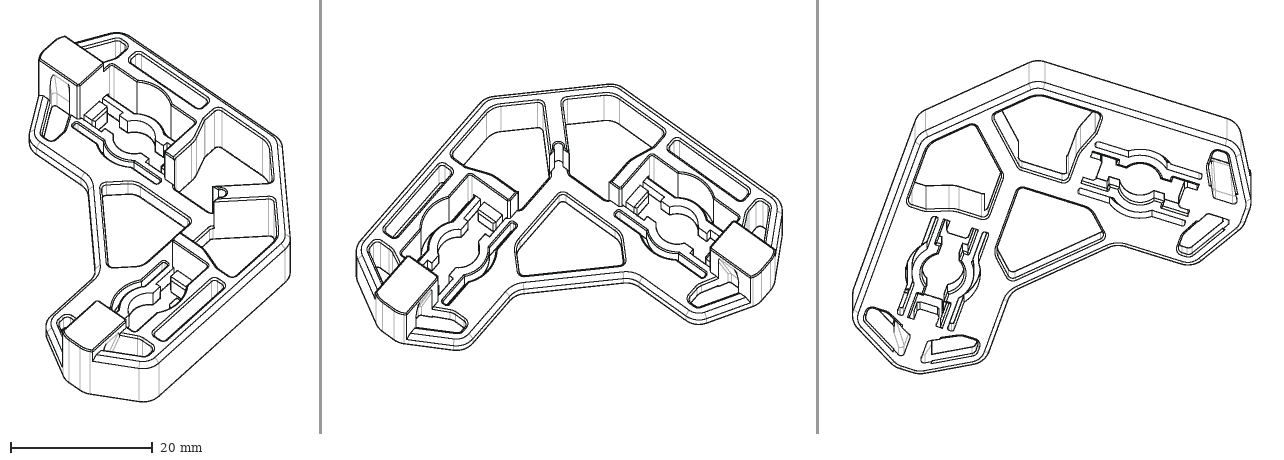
import cadquery as cq
import math

SIZE = 48.0
ARM_WIDTH = 20.15
FLOOR_TOP = 3.0
WALL_TOP = 9.0
BLOCK_TOP = 10.6
OVERSHOOT = 0.5

CORNER_CUT = 13.2
NOSE_HALF_WIDTH = 1.8
NOSE_ANGLE = 60.0
ELBOW_X = 16.1
CORNER_RADIUS = 3.0
RIM_CHAMFER = 0.7
EDGE_CHAMFER = 0.3
RIM_WIDTH = 1.85

AXIS_Y = SIZE - ARM_WIDTH / 2
BLOCK_HALF_WIDTH = 2.85
SEAT_EDGE = AXIS_Y - BLOCK_HALF_WIDTH
RELIEF_RADIUS = 0.65
RELIEF_INSET = 0.2

CLIP_START = 8.05
CLIP_END = 23.9
CLIP_MIDDLE = (CLIP_START + CLIP_END) / 2
CLIP_CHAMFER = 0.2
CAVITY_FILLET = 0.45
SLOT_OUTER_HALF = 4.2
SLOT_OUTER_RADIUS = 5.3
SLOT_WIDTH = 0.9
SLOT_INNER_HALF = SLOT_OUTER_HALF - SLOT_WIDTH
SLOT_INNER_RADIUS = SLOT_OUTER_RADIUS - SLOT_WIDTH
SLOT_END_RADIUS = 0.3
BEAM_INNER_HALF = 2.3
PAD_INNER_HALF = 1.55
PAD_HALF_LENGTH = 4.15
CLIP_HOLE_RADIUS = 3.0

LEDGE_LENGTH = 1.8
LEDGE_HALF_WIDTH = 1.65
LEDGE_CHAMFER = 0.35

WINDOW_RADIUS = 0.7
NOSE_WINDOW_END = 7.75
NOSE_WINDOW_BEND_X = 5.5
NOSE_WINDOW_BEND_OFFSET = 5.5
NOSE_WINDOW_BEND_RADIUS = 1.7
WEB_HALF_WIDTH = 1.25
WEB_FILLET = 0.5
RECESS_TOP = 9.45
RIB_WIDTH = 2.4
TAB_THICKNESS = 1.95
TAB_ROOT_THICKNESS = 0.6
TAB_ROOT_Y = 43.3
TAB_ROOT_RADIUS = 0.5
TAB_BEND_Y = 39.6
TAB_BEND_RADIUS = 3.85
MIDDLE_WINDOW_EDGE = 31.9
MIDDLE_WINDOW_SHIFT = 10.5
MIDDLE_WINDOW_RADIUS = 2.4

POCKET_START = 9.45
POCKET_END = 22.7
POCKET_OUTER_Y = 46.25
POCKET_WIDTH = 2.05
POCKET_RADIUS = 0.6

SLOPE = math.tan(math.radians(NOSE_ANGLE))
ROOT2 = math.sqrt(2)


def mirrored(shape):
    """Copy of a shape for the other arm, mirrored in the plane X = Y."""
    return shape.mirror((1, -1, 0), (0, 0, 0))


def rounded_outline(corners):
    """Closed wire through (x, y, radius) corners, each rounded by a tangent arc."""
    spans = []
    for i, (x, y, radius) in enumerate(corners):
        corner = cq.Vector(x, y)
        before = cq.Vector(*corners[i - 1][:2])
        after = cq.Vector(*corners[(i + 1) % len(corners)][:2])
        back = (before - corner).normalized()
        ahead = (after - corner).normalized()
        half_angle = back.getAngle(ahead) / 2
        reach = radius / math.tan(half_angle)
        to_middle = radius / math.sin(half_angle) - radius
        middle = corner + (back + ahead).normalized() * to_middle
        spans.append((corner + back * reach, middle, corner + ahead * reach))
    path = cq.Workplane("XY").moveTo(*spans[0][2].toTuple()[:2])
    for start, middle, end in spans[1:] + spans[:1]:
        path = path.lineTo(start.x, start.y)
        path = path.threePointArc((middle.x, middle.y), (end.x, end.y))
    return path.close()


def block(x0, x1, y0, y1, z0, z1):
    return cq.Workplane("XY").box(x1 - x0, y1 - y0, z1 - z0, False).translate((x0, y0, z0))


def clip_disc(radius, z0, z1):
    return cq.Workplane("XY", (CLIP_MIDDLE, AXIS_Y, z0)).circle(radius).extrude(z1 - z0)


def clip_bar(half_width, z0, z1):
    return block(CLIP_START, CLIP_END, AXIS_Y - half_width, AXIS_Y + half_width, z0, z1)


def outline_corners():
    """Corners of the contour, walked along one arm and back along its mirror image."""
    nose_run = (ARM_WIDTH / 2 - NOSE_HALF_WIDTH) / SLOPE
    arm = [
        (ELBOW_X, SIZE - ARM_WIDTH, CORNER_RADIUS),
        (nose_run, SIZE - ARM_WIDTH, CORNER_RADIUS),
        (0, AXIS_Y - NOSE_HALF_WIDTH, CORNER_RADIUS),
        (0, AXIS_Y + NOSE_HALF_WIDTH, CORNER_RADIUS),
        (nose_run, SIZE, CORNER_RADIUS),
        (SIZE - CORNER_CUT, SIZE, CORNER_RADIUS),
    ]
    return arm + [(y, x, radius) for x, y, radius in reversed(arm)]


def body(height):
    solid = rounded_outline(outline_corners()).extrude(height)
    return solid.faces("<Z").chamfer(RIM_CHAMFER)


def nose_window(side):
    """Window between the nose rim and the clip; side is +1 or -1 from the arm axis."""
    outer = ARM_WIDTH / 2 - RIM_WIDTH
    rim_shift = RIM_WIDTH / math.sin(math.radians(NOSE_ANGLE))

    def rim_x(offset):
        return (offset - NOSE_HALF_WIDTH) / SLOPE + rim_shift

    corners = [
        (rim_x(WEB_HALF_WIDTH), WEB_HALF_WIDTH, WEB_FILLET),
        (rim_x(outer), outer, WINDOW_RADIUS),
        (NOSE_WINDOW_END, outer, WINDOW_RADIUS),
        (NOSE_WINDOW_END, NOSE_WINDOW_BEND_OFFSET, NOSE_WINDOW_BEND_RADIUS),
        (NOSE_WINDOW_BEND_X, WEB_HALF_WIDTH, WEB_FILLET),
    ]
    return [(x, AXIS_Y + side * y, radius) for x, y, radius in corners]


def side_window():
    """Window between the tab at the clip end, the outer rim and the diagonal rib."""
    edge = SEAT_EDGE - EDGE_CHAMFER
    top = SIZE - RIM_WIDTH
    rim_sum = 2 * SIZE - CORNER_CUT - RIM_WIDTH * ROOT2
    rib_shift = RIB_WIDTH / ROOT2 + EDGE_CHAMFER
    tab_face = CLIP_END + TAB_THICKNESS
    tab_root = CLIP_END + TAB_ROOT_THICKNESS
    return [
        (tab_face, edge, WINDOW_RADIUS),
        (edge - rib_shift, edge, WINDOW_RADIUS),
        ((rim_sum - rib_shift) / 2, (rim_sum + rib_shift) / 2, WINDOW_RADIUS),
        (rim_sum - top, top, CORNER_RADIUS),
        (tab_root, top, WINDOW_RADIUS),
        (tab_root, TAB_ROOT_Y, TAB_ROOT_RADIUS),
        (tab_face, TAB_BEND_Y, TAB_BEND_RADIUS),
    ]


def middle_window():
    """Five-sided window in the floor between the two arms."""
    rim_sum = ELBOW_X + SIZE - ARM_WIDTH + RIM_WIDTH * ROOT2
    top = MIDDLE_WINDOW_EDGE
    shift = MIDDLE_WINDOW_SHIFT
    half = [
        ((rim_sum - shift) / 2, (rim_sum + shift) / 2, WINDOW_RADIUS),
        (top - shift, top, MIDDLE_WINDOW_RADIUS),
    ]
    far_corner = [(top, top, WINDOW_RADIUS)]
    return half + far_corner + [(y, x, radius) for x, y, radius in reversed(half)]


def window_outlines():
    for corners in (nose_window(1), nose_window(-1), side_window()):
        yield corners
        yield [(y, x, radius) for x, y, radius in corners]
    yield middle_window()


def flared(cutter, height, chamfer):
    """A cutter widened at 45 degrees where it leaves a top face this high above its base."""
    rim = cutter.faces("<Z").wires().toPending().extrude(chamfer + OVERSHOOT, taper=-45)
    return cutter.union(rim.translate((0, 0, height - chamfer)))


def cut_windows(solid, top):
    """Cut every window through a layer and break its edges at the layer's top and bottom."""
    for corners in window_outlines():
        solid = solid.cut(rounded_outline(corners).extrude(BLOCK_TOP))
        flare = rounded_outline(corners).extrude(EDGE_CHAMFER + OVERSHOOT, taper=-45)
        solid = solid.cut(flare.translate((0, 0, top - EDGE_CHAMFER)))
        solid = solid.cut(flare.mirror("XY").translate((0, 0, EDGE_CHAMFER)))
    return solid


def clip_slots():
    """Pair of through slots that free the two spring beams."""
    around = clip_bar(SLOT_OUTER_HALF, 0, FLOOR_TOP).union(clip_disc(SLOT_OUTER_RADIUS, 0, FLOOR_TOP))
    beams = clip_bar(SLOT_INNER_HALF, 0, FLOOR_TOP).union(clip_disc(SLOT_INNER_RADIUS, 0, FLOOR_TOP))
    slots = around.cut(beams).edges("|Z").edges("<X or >X").fillet(SLOT_END_RADIUS)
    return flared(slots, FLOOR_TOP, CLIP_CHAMFER)


def clip_hole():
    """Opening between the beams, narrowed by a pad on each side of the round middle."""
    hole = clip_bar(BEAM_INNER_HALF, 0, FLOOR_TOP)
    pads = block(
        CLIP_MIDDLE - PAD_HALF_LENGTH, CLIP_MIDDLE + PAD_HALF_LENGTH,
        AXIS_Y - BEAM_INNER_HALF, AXIS_Y + BEAM_INNER_HALF, 0, FLOOR_TOP,
    )
    gap = clip_bar(PAD_INNER_HALF, 0, FLOOR_TOP)
    hole = hole.cut(pads).union(gap).union(clip_disc(CLIP_HOLE_RADIUS, 0, FLOOR_TOP))
    below = hole.faces("<Z").wires().toPending().extrude(EDGE_CHAMFER, taper=-45)
    return hole.union(below.mirror("XY").translate((0, 0, EDGE_CHAMFER)))


def ledges():
    """Blocks standing into both ends of the clip opening."""
    half_width = LEDGE_HALF_WIDTH
    ledge = block(-OVERSHOOT, LEDGE_LENGTH, -half_width, half_width, 0, FLOOR_TOP)
    ledge = ledge.edges("|Z and >X").chamfer(LEDGE_CHAMFER).faces(">X").edges(">Z").chamfer(LEDGE_CHAMFER)
    at_block = ledge.translate((CLIP_START, AXIS_Y, 0))
    at_tab = ledge.mirror("YZ").translate((CLIP_END, AXIS_Y, 0))
    return at_block, at_tab


def floor_layer():
    plate = body(FLOOR_TOP).faces(">Z").chamfer(RIM_CHAMFER)
    plate = cut_windows(plate, FLOOR_TOP)
    for opening in (clip_slots(), clip_hole()):
        plate = plate.cut(opening).cut(mirrored(opening))
    return plate


def clip_cavity():
    """Space above the floor between an arm's end block and its tab."""
    cavity = clip_bar(SLOT_OUTER_HALF, 0, WALL_TOP).edges("|Z and >Y").fillet(CAVITY_FILLET)
    return cavity.union(clip_disc(SLOT_OUTER_RADIUS, 0, WALL_TOP))


def wall_void():
    """Everything open above the floor: the square seat, its corner relief and both cavities."""
    seat = block(-OVERSHOOT, SEAT_EDGE, -OVERSHOOT, SEAT_EDGE, 0, WALL_TOP)
    relief_at = SEAT_EDGE - RELIEF_INSET
    relief = cq.Workplane("XY").center(relief_at, relief_at).circle(RELIEF_RADIUS).extrude(WALL_TOP)
    void = seat.union(relief).union(clip_cavity()).union(mirrored(clip_cavity()))
    for along in (CLIP_START, CLIP_END):
        for x, y in ((along, SEAT_EDGE), (SEAT_EDGE, along)):
            corner = cq.selectors.NearestToPointSelector((x, y, WALL_TOP / 2))
            void = void.edges("|Z").edges(corner).chamfer(EDGE_CHAMFER)
    return flared(void, WALL_TOP, CLIP_CHAMFER)


def wall_pocket():
    """Rounded pocket sunk from the wall top to the floor level."""
    inner_y = POCKET_OUTER_Y - POCKET_WIDTH
    pocket = block(POCKET_START, POCKET_END, inner_y, POCKET_OUTER_Y, FLOOR_TOP, WALL_TOP)
    pocket = pocket.edges("|Z").fillet(POCKET_RADIUS)
    return flared(pocket, WALL_TOP - FLOOR_TOP, EDGE_CHAMFER)


def wall_layer():
    walls = cut_windows(body(WALL_TOP).faces(">Z").chamfer(RIM_CHAMFER), WALL_TOP)
    return walls.cut(wall_void()).cut(wall_pocket()).cut(mirrored(wall_pocket()))


def block_recess(side):
    """Nose window carried up into the end block, under a roof leaning outwards from the web."""
    rise = RECESS_TOP - FLOOR_TOP
    run = BLOCK_HALF_WIDTH - WEB_HALF_WIDTH
    reach = ARM_WIDTH / 2
    section = [
        (AXIS_Y + side * WEB_HALF_WIDTH, 0),
        (AXIS_Y + side * WEB_HALF_WIDTH, FLOOR_TOP),
        (AXIS_Y + side * reach, FLOOR_TOP + rise * (reach - WEB_HALF_WIDTH) / run),
        (AXIS_Y + side * reach, 0),
    ]
    under_roof = cq.Workplane("YZ").polyline(section).close().extrude(CLIP_START)
    corners = [(x, y) for x, y, radius in nose_window(side)]
    recess = cq.Workplane("XY").polyline(corners).close().extrude(2 * SIZE).intersect(under_roof)
    web_face = "<Y" if side > 0 else ">Y"
    web_sides = recess.faces(web_face).edges("|Z")
    roof_sides = recess.faces(">Z").edges("not |X")
    return web_sides.add(roof_sides).fillet(WEB_FILLET)


def end_block():
    """Tall block at the nose, with a recess in each side that leans outwards from the web."""
    near = AXIS_Y - BLOCK_HALF_WIDTH
    far = AXIS_Y + BLOCK_HALF_WIDTH
    solid = body(BLOCK_TOP).intersect(block(0, CLIP_START, near, far, 0, BLOCK_TOP))
    solid = solid.edges("|Z and >X").chamfer(EDGE_CHAMFER).faces(">Z").chamfer(CLIP_CHAMFER)
    for side in (1, -1):
        solid = solid.cut(block_recess(side))
    return solid


result = floor_layer().union(wall_layer())
for added in (end_block(), *ledges()):
    result = result.union(added).union(mirrored(added))